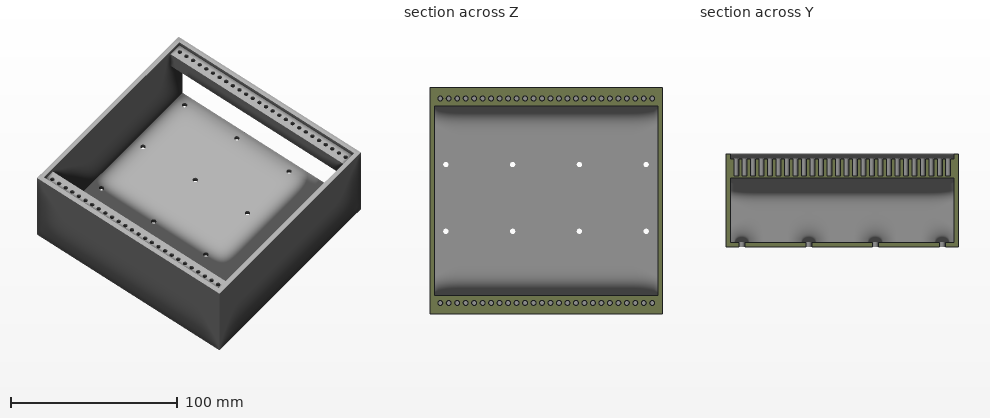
import cadquery as cq

length_x = 139.82
width_y = 136.0
height_z = 56.0
wall = 3.0
floor_thickness = 3.0
inner_x = length_x - 2 * wall
inner_y = width_y - 2 * wall

rail_count = 2
rail_depth = 8.5
rail_height = 11.5
rail_recess = 3.0
rail_top = height_z - rail_recess
rail_bottom = rail_top - rail_height

rail_hole_diameter = 2.7
rail_hole_depth = 10.0
rail_hole_pitch = 5.08
rail_hole_count = 26
rail_row_spacing = 122.5

floor_hole_diameter = 3.2
floor_hole_pitch = 40.0
floor_hole_columns = 4
floor_hole_rows = 4
floor_grid_offset_y = wall / 2


def make_case():
    """Rectangular box, hollowed from the top."""
    outer = cq.Workplane("XY").box(length_x, width_y, height_z, centered=(True, True, False))
    cavity = (
        cq.Workplane("XY")
        .workplane(offset=floor_thickness)
        .box(inner_x, inner_y, height_z - floor_thickness, centered=(True, True, False))
    )
    return outer.cut(cavity)


def make_rail(side):
    """Bar spanning the cavity against the wall at side = -1 (-Y) or +1 (+Y)."""
    return (
        cq.Workplane("XY")
        .workplane(offset=rail_bottom)
        .center(0, side * (inner_y - rail_depth) / 2)
        .box(inner_x, rail_depth, rail_height, centered=(True, True, False))
    )


def make_back_opening():
    """Cutter that opens the +Y wall between the floor and the rail."""
    return (
        cq.Workplane("XY")
        .workplane(offset=floor_thickness)
        .center(0, (width_y - wall) / 2)
        .box(inner_x, wall, rail_bottom - floor_thickness, centered=(True, True, False))
    )


def make_rail_holes():
    """Blind screw holes down from the tops of both rails."""
    return (
        cq.Workplane("XY")
        .workplane(offset=rail_top)
        .rarray(rail_hole_pitch, rail_row_spacing, rail_hole_count, rail_count)
        .circle(rail_hole_diameter / 2)
        .extrude(-rail_hole_depth)
    )


def make_floor_holes():
    """Square grid of holes through the floor."""
    return (
        cq.Workplane("XY")
        .center(0, floor_grid_offset_y)
        .rarray(floor_hole_pitch, floor_hole_pitch, floor_hole_columns, floor_hole_rows)
        .circle(floor_hole_diameter / 2)
        .extrude(floor_thickness)
    )


case = make_case().cut(make_back_opening())
for side in (-1, 1):
    case = case.union(make_rail(side))
result = case.cut(make_rail_holes()).cut(make_floor_holes())